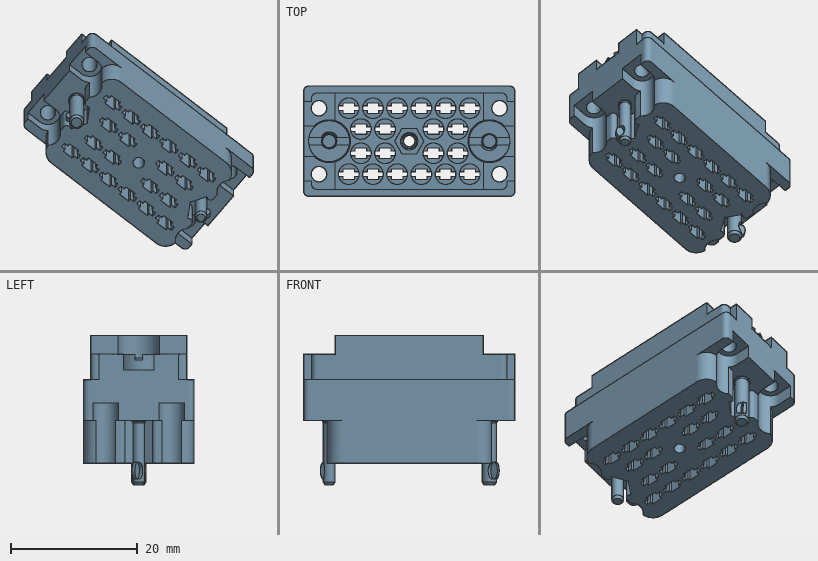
import cadquery as cq
import math

flange_bottom = 6.75
bolt_slot_top = 9.53
flange_top = 13.23
pocket_floor = 14.7
shoulder_top = 17.23
housing_top = 20.2

length = 33.32
width = 17.43
flange_corner = 0.85
shoulder_width = 15.2
shoulder_length = 30.8
shoulder_corner = 0.83
shoulder_tab_width = 12.53
top_block_length = 23.4
lower_block_length = 25.92
lower_block_corner = 2.3

knob_x = 12.63
pocket_radius = 3.35
channel_width = 4.8
v_half_width = 2.15
v_wall_angle = 31
v_lip_radius = 0.63

bolt_x = 14.23
bolt_y = 5.2
bolt_radius = 1.2
bolt_slot_radius = 3.95 / 2

contact_row_length = 19.05
contact_pitch = contact_row_length / 5
contact_row_y = bolt_y
contact_radius = 3.23 / 2
contact_floor = flange_bottom
blade_height = 0.7
terminal_length = 1.8
terminal_width = 1.6

nut_flats = 4
nut_height = 2
nut_bore_radius = 1.15
nut_chamfer = 0.2
center_bore_radius = 1.75 / 2
center_taper_depth = 0.65

knob_radius = 3.23
knob_top = 17.15
knob_slot_width = 1.2
knob_slot_floor = 16.33
knob_mouth_radius = 1.33
knob_mouth_depth = 1.05
knob_mouth_ledge = 0.13
mouth_offset_x = 0.03
mouth_offset_y = 0.13

journal_radius = 1.03
journal_top = 16.65
collar_step = 0.13
collar_bottom = 6.6
collar_taper_bottom = 6.35
pin_bottom = -3.4
tip_height = 0.45
tip_inset = 0.3
ear_z = -1.13
ear_height = 2.65
ear_width = 1.23
ear_thickness = 0.55
ear_angle = -33.4
ear_inset = 0.05

pins_layout = [(-1, 0.93), (1, 1.13)]


def slab(size_x, size_y, z_low, z_high):
    """Centred rectangular block between two heights."""
    return cq.Workplane("XY", origin=(0, 0, z_low)).rect(size_x, size_y).extrude(z_high - z_low)


def cylinder(x, y, radius, z_low, z_high):
    return cq.Workplane("XY", origin=(x, y, z_low)).circle(radius).extrude(z_high - z_low)


def cone(z_low, radius_low, z_high, radius_high):
    """Truncated cone on the Z axis."""
    return cq.Workplane("XY").add(
        cq.Solid.makeCone(radius_low, radius_high, z_high - z_low, cq.Vector(0, 0, z_low))
    )


def hexagon(z_low, z_high):
    corner_diameter = nut_flats / math.cos(math.pi / 6)
    return cq.Workplane("XY", origin=(0, 0, z_low)).polygon(6, corner_diameter).extrude(z_high - z_low)


def contact_positions():
    outer = [(k * contact_pitch / 2, s * contact_row_y) for k in (-5, -3, -1, 1, 3, 5) for s in (-1, 1)]
    inner = [(k * contact_pitch, s * contact_pitch / 2) for k in (-2, -1, 1, 2) for s in (-1, 1)]
    return outer + inner


def housing_blocks():
    """Lower block, flange, shoulder with end tabs, and top block."""
    lower = slab(lower_block_length, width, 0, flange_bottom).edges("|Z").fillet(lower_block_corner)
    flange = slab(length, width, flange_bottom, flange_top).edges("|Z").fillet(flange_corner)
    shoulder = slab(shoulder_length, shoulder_width, flange_top, shoulder_top)
    shoulder = shoulder.edges("|Z").fillet(shoulder_corner)
    tabs = slab(length, shoulder_tab_width, flange_top, shoulder_top)
    top = slab(top_block_length, shoulder_width, shoulder_top, housing_top)
    return cut_v_recesses(lower).union(flange).union(shoulder).union(tabs).union(top)


def cut_v_recesses(lower):
    """Shallow V in each end of the lower block, entered between rounded lips."""
    lip_x = lower_block_length / 2 - v_lip_radius
    lip_y = v_half_width + v_lip_radius
    wall_x = lip_x - v_lip_radius * math.sqrt(0.5)
    wall_y = lip_y - v_lip_radius * math.sqrt(0.5)
    v_depth = wall_y * math.tan(math.radians(v_wall_angle))
    v_recess = (
        cq.Workplane("XY")
        .moveTo(lower_block_length / 2, lip_y)
        .threePointArc((lip_x, v_half_width), (wall_x, wall_y))
        .lineTo(wall_x - v_depth, 0)
        .lineTo(wall_x, -wall_y)
        .threePointArc((lip_x, -v_half_width), (lower_block_length / 2, -lip_y))
        .close()
        .extrude(flange_bottom)
    )
    return lower.cut(v_recess).cut(v_recess.mirror("YZ"))


def knob_pocket(side):
    """Round pocket and its open channel to the end face."""
    height = housing_top - pocket_floor
    pocket = cylinder(side * knob_x, 0, pocket_radius, pocket_floor, housing_top)
    channel_length = length / 2 - knob_x
    channel_x = side * (knob_x + channel_length / 2)
    channel = cq.Workplane("XY", origin=(channel_x, 0, pocket_floor))
    return pocket.union(channel.rect(channel_length, channel_width).extrude(height))


def bolt_cut(side_x, side_y):
    """Bolt hole with a U-shaped slot open to the end face."""
    x = side_x * bolt_x
    y = side_y * bolt_y
    hole = cylinder(x, y, bolt_radius, 0, shoulder_top)
    slot = cylinder(x, y, bolt_slot_radius, 0, bolt_slot_top)
    run = length / 2 - bolt_x
    mouth = cq.Workplane("XY", origin=(x + side_x * run / 2, y, 0))
    mouth = mouth.rect(run, 2 * bolt_slot_radius).extrude(bolt_slot_top)
    return hole.union(slot).union(mouth)


def contact_cuts():
    """Round cavities, with a cross-shaped opening through the floor of each."""
    spots = contact_positions()
    cavity_height = housing_top - contact_floor
    cavities = cq.Workplane("XY", origin=(0, 0, contact_floor)).pushPoints(spots)
    cavities = cavities.circle(contact_radius).extrude(cavity_height)
    blade_blank = cq.Workplane("XY").pushPoints(spots).rect(2 * contact_radius, blade_height)
    blades = blade_blank.extrude(contact_floor).intersect(
        cq.Workplane("XY").pushPoints(spots).circle(contact_radius).extrude(contact_floor)
    )
    terminals = cq.Workplane("XY").pushPoints(spots).rect(terminal_length, terminal_width)
    return cavities, blades, terminals.extrude(contact_floor)


def make_housing():
    body = housing_blocks()
    for side, shank_radius in pins_layout:
        body = body.cut(knob_pocket(side))
        body = body.cut(cylinder(side * knob_x, 0, shank_radius + collar_step, 0, pocket_floor))
        for side_y in (-1, 1):
            body = body.cut(bolt_cut(side, side_y))
    for cut in contact_cuts():
        body = body.cut(cut)
    nut_seat = housing_top - nut_height
    taper_end = nut_seat - center_taper_depth
    body = body.cut(hexagon(nut_seat, housing_top))
    body = body.cut(cylinder(0, 0, center_bore_radius, 0, nut_seat))
    return body.cut(cone(taper_end, center_bore_radius, nut_seat, nut_bore_radius))


def make_nut():
    seat = housing_top - nut_height
    nut = hexagon(seat, housing_top).cut(cylinder(0, 0, nut_bore_radius, seat, housing_top))
    mouth = cone(housing_top - nut_chamfer, nut_bore_radius, housing_top, nut_bore_radius + nut_chamfer)
    return nut.cut(mouth)


def make_knob(side):
    """Slotted disc, bored for the pin, with an off-centre conical mouth around its tip."""
    knob = cylinder(0, 0, knob_radius, pocket_floor, knob_top)
    knob = knob.cut(slab(2 * knob_radius, knob_slot_width, knob_slot_floor, knob_top))
    knob = knob.cut(cylinder(0, 0, journal_radius, pocket_floor, knob_top))
    mouth = (
        cq.Workplane("XY", origin=(0, 0, knob_top - knob_mouth_depth))
        .circle(journal_radius + knob_mouth_ledge)
        .workplane(offset=knob_mouth_depth)
        .center(-side * mouth_offset_x, -side * mouth_offset_y)
        .circle(knob_mouth_radius)
        .loft()
    )
    return knob.cut(mouth).translate((side * knob_x, 0, 0))


def ear_prism(near, far, side, shank_radius):
    """Upright elliptical prism beside the pin, between two distances from the pin's axial plane."""
    angle = math.radians(ear_angle)
    outward = cq.Vector(math.cos(angle), math.sin(angle), 0)
    normal = cq.Vector(math.sin(angle), -math.cos(angle), 0)
    center = outward * (side * (shank_radius - ear_inset)) + cq.Vector(0, 0, ear_z) + normal * near
    plane = cq.Plane(origin=center, xDir=outward, normal=normal)
    return cq.Workplane(plane).ellipse(ear_width / 2, ear_height / 2).extrude(far - near)


def make_pin(side, shank_radius):
    """Turned pin with a collar, and a flat elliptical ear near its tip."""
    collar_radius = shank_radius + collar_step
    pin = (
        cq.Workplane("XZ")
        .moveTo(0, pin_bottom)
        .lineTo(shank_radius - tip_inset, pin_bottom)
        .lineTo(shank_radius, pin_bottom + tip_height)
        .lineTo(shank_radius, collar_taper_bottom)
        .lineTo(collar_radius, collar_bottom)
        .lineTo(collar_radius, pocket_floor)
        .lineTo(journal_radius, pocket_floor)
        .lineTo(journal_radius, journal_top)
        .lineTo(0, journal_top)
        .close()
        .revolve(360, (0, 0, 0), (0, 1, 0))
    )
    half = ear_thickness / 2
    pin = pin.union(ear_prism(-half, half, side, shank_radius))
    pin = pin.cut(ear_prism(half, half + shank_radius, side, shank_radius))
    return pin.translate((side * knob_x, 0, 0))


housing = make_housing()
nut = make_nut()
knobs = [make_knob(side) for side, _ in pins_layout]
pins = [make_pin(side, shank_radius) for side, shank_radius in pins_layout]

result = cq.Compound.makeCompound(
    [housing.val(), nut.val(), *[knob.val() for knob in knobs], *[pin.val() for pin in pins]]
)